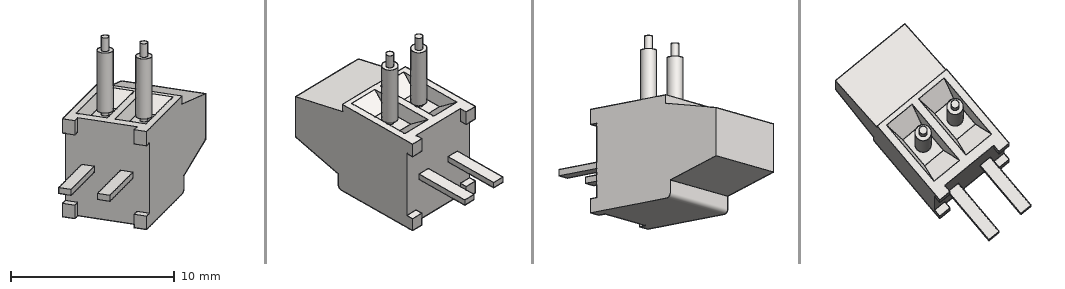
import cadquery as cq

TOTAL_LENGTH = 13.4
TOTAL_HEIGHT = 10.9
HOUSING_WIDTH = 5.53
HOUSING_HEIGHT = 6.53
PITCH = 2.55
CONTACT_XS = (-PITCH / 2, PITCH / 2)

PIN_WIDTH = 0.82
PIN_THICKNESS = 0.4
PIN_LENGTH = 3.9
PIN_Z = HOUSING_HEIGHT / 2

NOSE_Y = TOTAL_LENGTH - PIN_LENGTH
NOSE_TOP_Z = HOUSING_HEIGHT - 1.42
NOSE_BOTTOM_Z = 2.06
UPPER_STEP_Y = NOSE_Y - 4.0
UPPER_STEP_Z = HOUSING_HEIGHT - 0.54
LOWER_STEP_Y = NOSE_Y - 3.65
LOWER_STEP_Z = 1.1
HEEL_RADIUS = 0.3

FOOT_WIDTH = 0.82
FOOT_DEPTH = 0.5
UPPER_FOOT_HEIGHT = 0.95
LOWER_FOOT_HEIGHT = 0.9

POCKET_Y = 2.9
POCKET_WIDTH = 2.04
POCKET_LENGTH = 4.54
FLOOR_WIDTH = 1.5
FLOOR_LENGTH = 2.1
POCKET_DEPTH = 0.82
FLOOR_Z = HOUSING_HEIGHT - POCKET_DEPTH

CORE_DIAMETER = 0.5
SLEEVE_DIAMETER = 1.0
SLEEVE_LENGTH = 3.99
CORE_TOP_LENGTH = 0.9
SLEEVE_TOP_Z = TOTAL_HEIGHT - CORE_TOP_LENGTH


def make_housing_block():
    """Side profile in the YZ plane, extruded across the width."""
    profile = [
        (0, 0),
        (LOWER_STEP_Y, 0),
        (LOWER_STEP_Y, LOWER_STEP_Z),
        (NOSE_Y, NOSE_BOTTOM_Z),
        (NOSE_Y, NOSE_TOP_Z),
        (UPPER_STEP_Y, UPPER_STEP_Z),
        (UPPER_STEP_Y, HOUSING_HEIGHT),
        (0, HOUSING_HEIGHT),
    ]
    block = cq.Workplane("YZ").polyline(profile).close().extrude(HOUSING_WIDTH / 2, both=True)
    heel_edge = cq.selectors.NearestToPointSelector((0, LOWER_STEP_Y, 0))
    return block.edges(heel_edge).fillet(HEEL_RADIUS)


def make_foot(side, bottom_z, height):
    """Foot at the left (side = -1) or right (side = 1) edge of the front face."""
    center_x = side * (HOUSING_WIDTH - FOOT_WIDTH) / 2
    foot = cq.Workplane("XY").box(FOOT_WIDTH, FOOT_DEPTH, height, centered=(True, True, False))
    return foot.translate((center_x, -FOOT_DEPTH / 2, bottom_z))


def make_pocket(x):
    """Four-sided funnel from the top face down to a smaller flat floor."""
    return (
        cq.Workplane("XY", origin=(x, POCKET_Y, FLOOR_Z))
        .rect(FLOOR_WIDTH, FLOOR_LENGTH)
        .workplane(offset=POCKET_DEPTH)
        .rect(POCKET_WIDTH, POCKET_LENGTH)
        .loft(ruled=True)
    )


def make_housing():
    housing = make_housing_block()
    for side in (-1, 1):
        housing = housing.union(make_foot(side, 0, LOWER_FOOT_HEIGHT))
        housing = housing.union(make_foot(side, HOUSING_HEIGHT - UPPER_FOOT_HEIGHT, UPPER_FOOT_HEIGHT))
    for x in CONTACT_XS:
        housing = housing.cut(make_pocket(x))
    return housing


def make_pin(x):
    pin = cq.Workplane("XY").box(PIN_WIDTH, PIN_LENGTH, PIN_THICKNESS)
    return pin.translate((x, -PIN_LENGTH / 2, PIN_Z))


def make_wire(x):
    core = (
        cq.Workplane("XY", origin=(x, POCKET_Y, FLOOR_Z))
        .circle(CORE_DIAMETER / 2)
        .extrude(TOTAL_HEIGHT - FLOOR_Z)
    )
    sleeve = (
        cq.Workplane("XY", origin=(x, POCKET_Y, SLEEVE_TOP_Z - SLEEVE_LENGTH))
        .circle(SLEEVE_DIAMETER / 2)
        .extrude(SLEEVE_LENGTH)
    )
    return core.union(sleeve)


housing = make_housing()
pins = [make_pin(x).val() for x in CONTACT_XS]
wires = [make_wire(x).val() for x in CONTACT_XS]

result = cq.Compound.makeCompound([housing.val(), *pins, *wires])